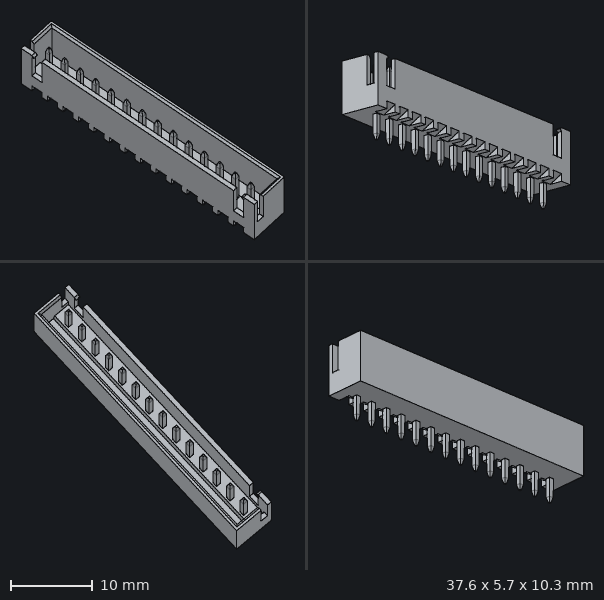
import cadquery as cq

PIN_COUNT = 14
PITCH = 2.5
BODY_LENGTH = 37.6
BODY_DEPTH = 5.7
BODY_HEIGHT = 7.0

WALL = 0.65
FLOOR_Z = 2.0
RECESS_DEPTH = 0.6
RECESS_WIDTH = 1.95
RECESS_SLOPE_WIDTH = 0.22
RIM_CHAMFER = 0.3

SLOT_BOTTOM_Z = 3.0
FRONT_SLOT_WIDTH = 1.6
END_SLOT_WIDTH = 1.05
LATCH_REACH = 0.35
LATCH_HEIGHT = 0.5

NOTCH_WIDTH = 1.6
NOTCH_HEIGHT = 1.0
NOTCH_DEPTH = 1.8

PIN_SIZE = 0.64
PIN_TIP_SIZE = 0.24
PIN_TIP_LENGTH = 0.7
PIN_BOTTOM_Z = -3.3
PIN_TOP_Z = 6.9
PIN_TO_FRONT = 2.3

FRONT_Y = -PIN_TO_FRONT
BACK_Y = FRONT_Y + BODY_DEPTH
CAVITY_FRONT_Y = FRONT_Y + WALL
CAVITY_BACK_Y = BACK_Y - WALL
CAVITY_LENGTH = BODY_LENGTH - 2 * WALL
LAST_PIN_X = (PIN_COUNT - 1) * PITCH / 2
PIN_XS = [index * PITCH - LAST_PIN_X for index in range(PIN_COUNT)]


def block(length, y_front, y_back, z_low, z_high, x_center=0):
    """Box centred in X and bounded by the given Y and Z limits."""
    base = cq.Workplane("XY", origin=(x_center, y_front, z_low))
    return base.box(length, y_back - y_front, z_high - z_low, centered=(True, False, False))


def extrude_along_x(points, length, x_center):
    """Prism with the given (y, z) outline, centred at x_center."""
    plane = cq.Workplane("YZ", origin=(x_center - length / 2, 0, 0))
    return plane.polyline(points).close().extrude(length)


def make_cavity():
    """Cutter for the open-topped interior, whose floor slopes down to a recess along the back wall."""
    recess_front_y = CAVITY_BACK_Y - RECESS_WIDTH
    outline = [
        (CAVITY_FRONT_Y, BODY_HEIGHT),
        (CAVITY_FRONT_Y, FLOOR_Z),
        (recess_front_y - RECESS_SLOPE_WIDTH, FLOOR_Z),
        (recess_front_y, FLOOR_Z - RECESS_DEPTH),
        (CAVITY_BACK_Y, FLOOR_Z - RECESS_DEPTH),
        (CAVITY_BACK_Y, BODY_HEIGHT),
    ]
    return extrude_along_x(outline, CAVITY_LENGTH, 0)


def make_rim_chamfer():
    """Cutter for the lead-in on the inner rim of the back and end walls."""
    chamfer_z = BODY_HEIGHT - RIM_CHAMFER
    rim_back_y = CAVITY_BACK_Y + RIM_CHAMFER
    inner_x = CAVITY_LENGTH / 2
    rim_x = inner_x + RIM_CHAMFER
    end_outline = [
        (-inner_x, chamfer_z),
        (inner_x, chamfer_z),
        (rim_x, BODY_HEIGHT),
        (-rim_x, BODY_HEIGHT),
    ]
    end_slopes = (
        cq.Workplane("XZ", origin=(0, rim_back_y, 0))
        .polyline(end_outline)
        .close()
        .extrude(rim_back_y - CAVITY_FRONT_Y)
    )
    back_outline = [
        (CAVITY_FRONT_Y, chamfer_z),
        (CAVITY_BACK_Y, chamfer_z),
        (rim_back_y, BODY_HEIGHT),
        (CAVITY_FRONT_Y, BODY_HEIGHT),
    ]
    return end_slopes.intersect(extrude_along_x(back_outline, BODY_LENGTH, 0))


def make_front_slot(side):
    """Slot in the front wall at an end pin, less the latch bump on its outer edge."""
    slot = block(
        FRONT_SLOT_WIDTH, FRONT_Y, CAVITY_FRONT_Y, SLOT_BOTTOM_Z, BODY_HEIGHT, side * LAST_PIN_X
    )
    outer_x = side * (LAST_PIN_X + FRONT_SLOT_WIDTH / 2)
    latch = (
        cq.Workplane("XZ", origin=(0, CAVITY_FRONT_Y, 0))
        .moveTo(outer_x, BODY_HEIGHT)
        .lineTo(outer_x - side * LATCH_REACH, BODY_HEIGHT - LATCH_HEIGHT / 2)
        .lineTo(outer_x, BODY_HEIGHT - LATCH_HEIGHT)
        .close()
        .extrude(WALL)
    )
    return slot.cut(latch)


def make_notch(x_center):
    """Wedge cutter that rises toward the front face under one pin."""
    outline = [(FRONT_Y, 0), (FRONT_Y + NOTCH_DEPTH, 0), (FRONT_Y, NOTCH_HEIGHT)]
    return extrude_along_x(outline, NOTCH_WIDTH, x_center)


def make_body():
    """Housing with its cavity, slots and notches."""
    body = block(BODY_LENGTH, FRONT_Y, BACK_Y, 0, BODY_HEIGHT)
    body = body.cut(make_cavity()).cut(make_rim_chamfer())
    end_slot_back_y = CAVITY_FRONT_Y + END_SLOT_WIDTH
    body = body.cut(block(BODY_LENGTH, CAVITY_FRONT_Y, end_slot_back_y, SLOT_BOTTOM_Z, BODY_HEIGHT))
    for side in (-1, 1):
        body = body.cut(make_front_slot(side))
    for pin_x in PIN_XS:
        body = body.cut(make_notch(pin_x))
    return body


def make_pin(x_center):
    """Square pin tapered at both ends."""
    shank_bottom_z = PIN_BOTTOM_Z + PIN_TIP_LENGTH
    shank_top_z = PIN_TOP_Z - PIN_TIP_LENGTH
    half_size = PIN_SIZE / 2
    pin = block(PIN_SIZE, -half_size, half_size, shank_bottom_z, shank_top_z)
    for shank_end_z, direction in ((shank_bottom_z, -1), (shank_top_z, 1)):
        tip = (
            cq.Workplane("XY", origin=(0, 0, shank_end_z))
            .rect(PIN_SIZE, PIN_SIZE)
            .workplane(offset=direction * PIN_TIP_LENGTH)
            .rect(PIN_TIP_SIZE, PIN_TIP_SIZE)
            .loft(ruled=True)
        )
        pin = pin.union(tip)
    return pin.translate((x_center, 0, 0))


result = make_body()
for pin_x in PIN_XS:
    result = result.union(make_pin(pin_x))